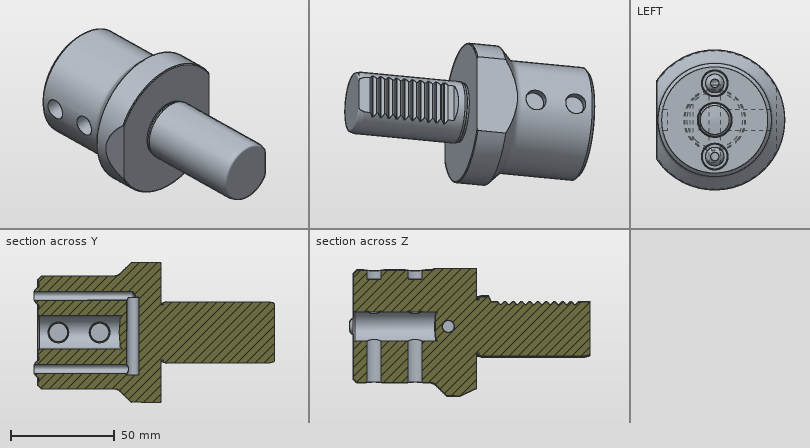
import cadquery as cq
import math


overall_length = 116.8

head_diameter = 55.0
head_length = 60.0
head_chamfer = 1.8

flange_diameter = 68.0
flange_rim_length = 14.5
flange_cone_angle = 45.0
flange_neck_radius = 4.0
flange_rear_chamfer = 0.5
back_flat_y = 28.2
bevel_length = 8.4
bevel_angle = 25.0

shank_diameter = 30.0
shank_length = 55.0
shank_end_diameter = 29.1
shank_end_fillet = 1.0
rear_taper_length = 1.8
root_taper_length = 1.3

ring_section_diameter = 1.0

tooth_flat_y = 12.0
tooth_flat_start = 7.0
tooth_flat_lead_angle = 25.0
tooth_count = 10
first_tooth_x = 11.7
last_tooth_x = 47.7
tooth_depth = 1.4
tooth_root_width = 0.5

bore_diameter = 16.0
bore_depth = 40.0
bore_mouth_diameter = 17.0
bore_mouth_depth = 0.9
bore_floor_diameter = 14.0
bore_floor_rise = 0.6

clamp_diameter = 10.0
stud_tip_diameter = 9.0
stud_tip_y = 7.0
stud_length = 16.0
clamp_depths = (10.0, 30.0)

nozzle_offset = 17.8
nozzle_seat_diameter = 12.0
nozzle_seat_depth = 0.5
nozzle_ball_diameter = 10.0
nozzle_hole_diameter = 4.1
drill_tip_angle = 118.0
coolant_passage_diameter = 5.7
coolant_passage_gap = 2.3
coolant_passage_drop = 0.7

front_x = -head_length
head_radius = head_diameter / 2
flange_radius = flange_diameter / 2
shank_radius = shank_diameter / 2
shank_end_radius = shank_end_diameter / 2
tip_radius = nozzle_hole_diameter / 2
passage_radius = coolant_passage_diameter / 2
bore_end_x = front_x + bore_depth + (bore_diameter - bore_floor_diameter) / 2
passage_x = bore_end_x + coolant_passage_gap + passage_radius
nozzle_tip_x = shank_length - overall_length
tooth_pitch = (last_tooth_x - first_tooth_x) / (tooth_count - 1)


def revolve_about_x(profile):
    """Turn a closed (x, radius) profile about the X axis."""
    return profile.close().revolve(360, (0, 0, 0), (1, 0, 0))


def cylinder_y(diameter, x, start_y, end_y):
    """Cylinder along Y between two Y positions."""
    return cq.Workplane("XZ", origin=(x, end_y, 0)).circle(diameter / 2).extrude(end_y - start_y)


def make_head():
    """Chamfered head and conical flange, with the neck blended by an arc."""
    half_turn = math.radians(flange_cone_angle) / 2
    cone_length = (flange_radius - head_radius) / math.tan(math.radians(flange_cone_angle))
    corner_x = -flange_rim_length - cone_length
    tangent = flange_neck_radius * math.tan(half_turn)
    arc_center_x = corner_x - tangent
    arc_center_r = head_radius + flange_neck_radius
    arc_mid = (
        arc_center_x + flange_neck_radius * math.sin(half_turn),
        arc_center_r - flange_neck_radius * math.cos(half_turn),
    )
    arc_end = (
        corner_x + tangent * math.cos(2 * half_turn),
        head_radius + tangent * math.sin(2 * half_turn),
    )
    profile = (
        cq.Workplane("XY")
        .moveTo(front_x, 0)
        .lineTo(front_x, head_radius - head_chamfer)
        .lineTo(front_x + head_chamfer, head_radius)
        .lineTo(arc_center_x, head_radius)
        .threePointArc(arc_mid, arc_end)
        .lineTo(-flange_rim_length, flange_radius)
        .lineTo(-flange_rear_chamfer, flange_radius)
        .lineTo(0, flange_radius - flange_rear_chamfer)
        .lineTo(0, 0)
    )
    return revolve_about_x(profile)


def make_shank():
    """Shank with a ring groove at its root and a taper at each end."""
    groove_radius = shank_end_radius - ring_section_diameter
    rear_taper_end = shank_length - shank_end_fillet
    diagonal = math.sqrt(0.5)
    fillet_mid = (
        rear_taper_end + shank_end_fillet * diagonal,
        shank_end_radius - shank_end_fillet * (1 - diagonal),
    )
    profile = (
        cq.Workplane("XY")
        .lineTo(0, groove_radius)
        .lineTo(ring_section_diameter, groove_radius)
        .lineTo(ring_section_diameter, shank_end_radius)
        .lineTo(ring_section_diameter + root_taper_length, shank_radius)
        .lineTo(rear_taper_end - rear_taper_length, shank_radius)
        .lineTo(rear_taper_end, shank_end_radius)
        .threePointArc(fillet_mid, (shank_length, shank_end_radius - shank_end_fillet))
        .lineTo(shank_length, 0)
    )
    return revolve_about_x(profile)


def make_flange_flats():
    """Material removed for the +Y flat and for the sloping flat on the -Y side."""
    back = (
        cq.Workplane("XY")
        .box(head_length, flange_radius, flange_diameter, centered=(False, False, True))
        .translate((front_x, back_flat_y, 0))
    )
    bevel = (
        cq.Workplane("XY")
        .moveTo(-bevel_length, -flange_radius)
        .lineTo(0, -flange_radius + bevel_length * math.tan(math.radians(bevel_angle)))
        .lineTo(0, -flange_radius)
        .close()
        .extrude(flange_radius, both=True)
    )
    return back.union(bevel)


def make_tooth_cut():
    """Flat on the +Y side of the shank, notched by a row of 45 degree teeth."""
    lead = (shank_radius - tooth_flat_y) * math.tan(math.radians(tooth_flat_lead_angle))
    root = tooth_flat_y - tooth_depth
    half_root = tooth_root_width / 2
    half_mouth = half_root + tooth_depth
    outline = (
        cq.Workplane("XY")
        .moveTo(tooth_flat_start - lead, shank_radius)
        .lineTo(tooth_flat_start, tooth_flat_y)
    )
    for i in range(tooth_count):
        x = first_tooth_x + i * tooth_pitch
        outline = (
            outline.lineTo(x - half_mouth, tooth_flat_y)
            .lineTo(x - half_root, root)
            .lineTo(x + half_root, root)
            .lineTo(x + half_mouth, tooth_flat_y)
        )
    outline = outline.lineTo(shank_length, tooth_flat_y).lineTo(shank_length, shank_radius)
    return outline.close().extrude(shank_radius, both=True)


def make_tool_bore():
    """Central bore with a chamfered mouth, a bevelled rim and a low cone on its floor."""
    radius = bore_diameter / 2
    mouth_radius = bore_mouth_diameter / 2
    floor_radius = bore_floor_diameter / 2
    floor_x = front_x + bore_depth
    profile = (
        cq.Workplane("XY")
        .moveTo(front_x, 0)
        .lineTo(front_x, mouth_radius)
        .lineTo(front_x + bore_mouth_depth, radius)
        .lineTo(bore_end_x, radius)
        .lineTo(floor_x, floor_radius)
        .lineTo(floor_x - bore_floor_rise, 0)
    )
    return revolve_about_x(profile)


def make_clamp_hole(x):
    """Clamping hole straight across the head and the bore."""
    return cylinder_y(clamp_diameter, x, -head_radius, head_radius)


def make_clamp_stud(x):
    """Chamfered stud that fills the +Y half of a clamping hole and reaches into the bore."""
    stud = cylinder_y(clamp_diameter, x, stud_tip_y, stud_tip_y + stud_length)
    return stud.faces("<Y").chamfer((clamp_diameter - stud_tip_diameter) / 2)


def make_nozzle_seat(z):
    """Shallow seat with a 45 degree wall, cut into the front face."""
    radius = nozzle_seat_diameter / 2
    profile = (
        cq.Workplane("XY")
        .moveTo(front_x, 0)
        .lineTo(front_x, radius + nozzle_seat_depth)
        .lineTo(front_x + nozzle_seat_depth, radius)
        .lineTo(front_x + nozzle_seat_depth, 0)
    )
    return revolve_about_x(profile).translate((0, 0, z))


def make_nozzle_ball(z):
    """Ball cut flat at its tip, where the flat is as wide as the nozzle hole."""
    ball_radius = nozzle_ball_diameter / 2
    ball_x = nozzle_tip_x + math.sqrt(ball_radius**2 - tip_radius**2)
    profile = (
        cq.Workplane("XY")
        .moveTo(nozzle_tip_x, 0)
        .lineTo(nozzle_tip_x, tip_radius)
        .threePointArc((ball_x, ball_radius), (ball_x + ball_radius, 0))
    )
    return revolve_about_x(profile).translate((0, 0, z))


def make_nozzle_hole(z):
    """Long drilled hole with a conical end, reaching the axis of the coolant passage."""
    point_length = tip_radius / math.tan(math.radians(drill_tip_angle / 2))
    profile = (
        cq.Workplane("XY")
        .moveTo(nozzle_tip_x, 0)
        .lineTo(nozzle_tip_x, tip_radius)
        .lineTo(passage_x, tip_radius)
        .lineTo(passage_x + point_length, 0)
    )
    return revolve_about_x(profile).translate((0, 0, z))


def make_coolant_passage():
    """Upright passage behind the bore floor that joins the two nozzle holes."""
    bottom = -nozzle_offset - passage_radius
    top = nozzle_offset - coolant_passage_drop
    return cq.Workplane("XY", origin=(passage_x, 0, bottom)).circle(passage_radius).extrude(top - bottom)


def make_housing():
    """Head, flange and shank in one piece, with the studs and nozzle balls set into the head."""
    body = make_head().cut(make_flange_flats())
    body = body.union(make_shank().cut(make_tooth_cut()))
    body = body.cut(make_tool_bore())
    for depth in clamp_depths:
        body = body.cut(make_clamp_hole(front_x + depth))
        body = body.union(make_clamp_stud(front_x + depth))
    for z in (-nozzle_offset, nozzle_offset):
        body = body.cut(make_nozzle_seat(z))
        body = body.union(make_nozzle_ball(z))
        body = body.cut(make_nozzle_hole(z))
    return body.cut(make_coolant_passage())


def make_seal_ring():
    """O-ring lying in the groove at the root of the shank."""
    section_radius = ring_section_diameter / 2
    ring_radius = shank_end_radius - section_radius
    return cq.Workplane(
        cq.Solid.makeTorus(ring_radius, section_radius, cq.Vector(section_radius, 0, 0), cq.Vector(1, 0, 0))
    )


housing = make_housing()
seal_ring = make_seal_ring()

result = cq.Compound.makeCompound([housing.solids().val(), seal_ring.val()])